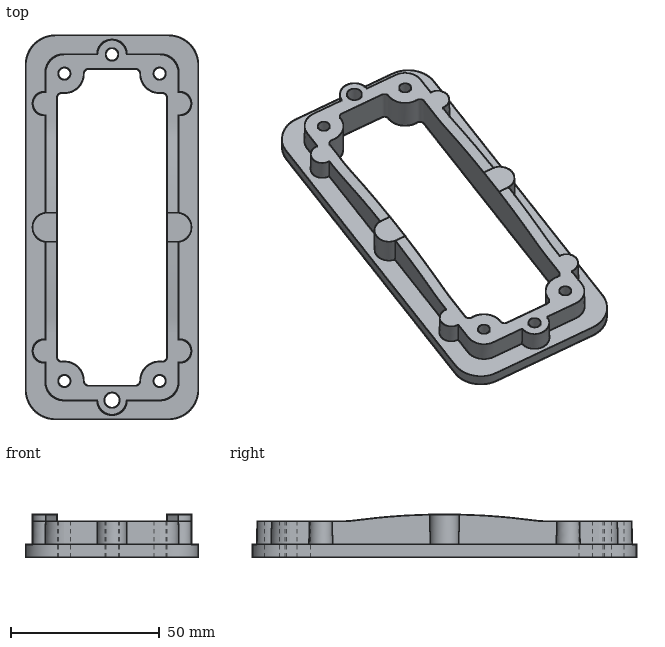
import cadquery as cq
import math

LENGTH = 129.0
WIDTH = 58.0
FLANGE_THICKNESS = 4.4
FLANGE_CORNER_RADIUS = 10.0

TOTAL_HEIGHT = 14.5
FRAME_HEIGHT = 12.1
FRAME_WIDTH = 44.9
FRAME_LENGTH = 116.4
FRAME_CORNER_RADIUS = 6.3
DRAFT_ANGLE = 1.0

WINDOW_WIDTH = 36.9
WINDOW_LENGTH = 106.3
WINDOW_FILLET = 1.5

CORNER_X = 16.0
CORNER_Y = 51.6
CORNER_PAD_RADIUS = 6.6
CORNER_HOLE_DIAMETER = 4.0

END_BOSS_Y = 58.0
END_BOSS_RADIUS = 5.0
NORTH_HOLE_DIAMETER = 4.1
SOUTH_HOLE_DIAMETER = 5.0
SIDE_BOSS_X = 22.7
SIDE_BOSS_Y = 41.5
SIDE_BOSS_RADIUS = 4.0
MIDDLE_BOSS_X = 21.8
MIDDLE_BOSS_RADIUS = 4.9

CROWN_HALF_LENGTH = 29.4
CROWN_RUNOUT_Y = 35.2
CROWN_RISE = TOTAL_HEIGHT - FRAME_HEIGHT


def mirrored(x, y):
    return [(sx * x, sy * y) for sx in (-1, 1) for sy in (-1, 1)]


def drafted(sketch, top):
    """Extrude a foot outline up from the flange, narrowing with the draft."""
    return sketch.extrude(top - FLANGE_THICKNESS, taper=DRAFT_ANGLE)


def flange_top():
    return cq.Workplane("XY").workplane(offset=FLANGE_THICKNESS)


def boss(x, y, radius, top):
    return drafted(flange_top().center(x, y).circle(radius), top)


def make_middle_boss(side):
    """Straight-walled boss whose flat top carries on across the rail to the window."""
    height = TOTAL_HEIGHT - FLANGE_THICKNESS
    rounded = flange_top().center(side * MIDDLE_BOSS_X, 0).circle(MIDDLE_BOSS_RADIUS).extrude(height)
    inner_x = WINDOW_WIDTH / 2
    pad_length = MIDDLE_BOSS_X - inner_x
    pad_x = side * (inner_x + pad_length / 2)
    pad = flange_top().center(pad_x, 0).rect(pad_length, 2 * MIDDLE_BOSS_RADIUS).extrude(height)
    return rounded.union(pad)


def make_flange():
    flange = cq.Workplane("XY").rect(WIDTH, LENGTH).extrude(FLANGE_THICKNESS)
    return flange.edges("|Z").fillet(FLANGE_CORNER_RADIUS)


def make_frame():
    outline = cq.Sketch().rect(FRAME_WIDTH, FRAME_LENGTH).vertices().fillet(FRAME_CORNER_RADIUS)
    frame = drafted(flange_top().placeSketch(outline), TOTAL_HEIGHT)
    return frame.intersect(make_crown_envelope())


def make_crown_envelope():
    """Block whose upper face is the side profile of the frame."""
    half_angle = math.atan(CROWN_RISE / CROWN_RUNOUT_Y)
    meeting_z = TOTAL_HEIGHT - CROWN_HALF_LENGTH * math.tan(half_angle)
    half_length = LENGTH / 2
    profile = (
        cq.Workplane("YZ")
        .moveTo(-half_length, 0)
        .lineTo(-half_length, FRAME_HEIGHT)
        .lineTo(-CROWN_RUNOUT_Y, FRAME_HEIGHT)
        .tangentArcPoint((-CROWN_HALF_LENGTH, meeting_z), relative=False)
        .threePointArc((0, TOTAL_HEIGHT), (CROWN_HALF_LENGTH, meeting_z))
        .tangentArcPoint((CROWN_RUNOUT_Y, FRAME_HEIGHT), relative=False)
        .lineTo(half_length, FRAME_HEIGHT)
        .lineTo(half_length, 0)
        .close()
    )
    return profile.extrude(WIDTH / 2, both=True)


def make_window():
    window = cq.Workplane("XY").rect(WINDOW_WIDTH, WINDOW_LENGTH).extrude(TOTAL_HEIGHT)
    pads = (
        cq.Workplane("XY")
        .pushPoints(mirrored(CORNER_X, CORNER_Y))
        .circle(CORNER_PAD_RADIUS)
        .extrude(TOTAL_HEIGHT)
    )
    return window.cut(pads).edges("|Z").fillet(WINDOW_FILLET)


def make_hole(x, y, diameter):
    return cq.Workplane("XY").center(x, y).circle(diameter / 2).extrude(TOTAL_HEIGHT)


result = make_flange().union(make_frame())

for side in (-1, 1):
    result = result.union(boss(0, side * END_BOSS_Y, END_BOSS_RADIUS, FRAME_HEIGHT))
    result = result.union(make_middle_boss(side))
for x, y in mirrored(SIDE_BOSS_X, SIDE_BOSS_Y):
    result = result.union(boss(x, y, SIDE_BOSS_RADIUS, FRAME_HEIGHT))

result = result.cut(make_window())
for x, y in mirrored(CORNER_X, CORNER_Y):
    result = result.cut(make_hole(x, y, CORNER_HOLE_DIAMETER))
result = result.cut(make_hole(0, END_BOSS_Y, NORTH_HOLE_DIAMETER))
result = result.cut(make_hole(0, -END_BOSS_Y, SOUTH_HOLE_DIAMETER))